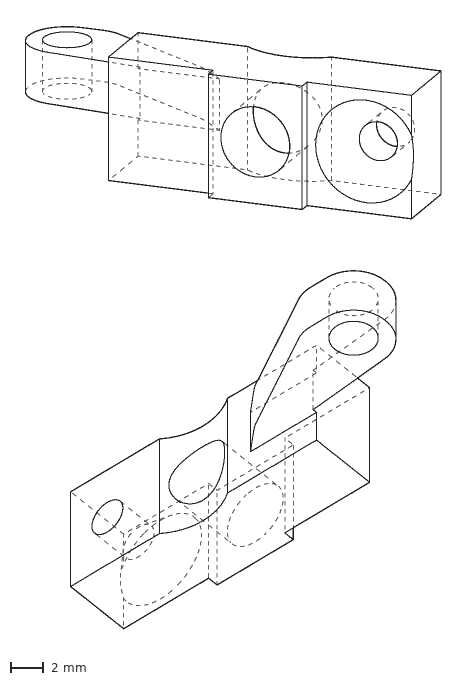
import cadquery as cq
import math

block_length = 19.95
block_depth = 5.0
block_height = 8.0
pad_width = 6.18
pad_depth = 0.8
bore_diameter = 4.53

groove_width = 5.53
groove_depth = 0.88

screw_x = 6.98
screw_diameter = 2.5
sink_diameter = 6.65
sink_angle = 90

arm_thickness = 3.33
eye_x = -16.02
eye_y = 3.5
eye_radius = 2.5
eye_flat = 0.15
pivot_diameter = 3.02
underside_slope = math.radians(5)
flank_slope = math.radians(30)
flank_x = -6.55
flank_y = 1.7
toe_slope = math.radians(43)
toe_x = -4.62

block_left = -block_length / 2


def make_block():
    block = cq.Workplane("XY").box(block_length, block_depth, block_height)
    block = block.translate((0, -block_depth / 2, 0))
    pad = cq.Workplane("XY").box(pad_width, pad_depth, block_height)
    return block.union(pad.translate((0, -block_depth - pad_depth / 2, 0)))


def make_groove():
    return (
        cq.Workplane("XY")
        .moveTo(-groove_width / 2, 0)
        .threePointArc((0, -groove_depth), (groove_width / 2, 0))
        .close()
        .extrude(block_height / 2, both=True)
    )


def make_bore():
    total_depth = block_depth + pad_depth
    return cq.Workplane("XZ").circle(bore_diameter / 2).extrude(total_depth)


def make_screw_hole():
    """Revolve the straight hole and its conical mouth about the screw axis."""
    screw_radius = screw_diameter / 2
    sink_radius = sink_diameter / 2
    sink_depth = (sink_radius - screw_radius) / math.tan(math.radians(sink_angle / 2))
    return (
        cq.Workplane("XY")
        .polyline([
            (0, 0),
            (screw_radius, 0),
            (screw_radius, sink_depth - block_depth),
            (sink_radius, -block_depth),
            (0, -block_depth),
        ])
        .close()
        .revolve(360, (0, 0, 0), (0, 1, 0))
        .translate((screw_x, 0, 0))
    )


def eye_point(centre_y, angle):
    """Point on an eye arc, with the angle measured from +X."""
    return (eye_x + eye_radius * math.cos(angle), centre_y + eye_radius * math.sin(angle))


def rounded_bend(corner, slope_before, slope_after):
    """Ends of an eye-radius arc that rounds a corner between two falling slopes."""
    setback = eye_radius * math.tan((slope_after - slope_before) / 2)
    x, y = corner
    start = (x - setback * math.cos(slope_before), y + setback * math.sin(slope_before))
    end = (x + setback * math.cos(slope_after), y - setback * math.sin(slope_after))
    return start, end


def make_arm():
    top_y = eye_y + eye_radius
    lower_y = eye_y - eye_flat
    tangent_angle = 1.5 * math.pi - underside_slope
    tangent_x, tangent_y = eye_point(lower_y, tangent_angle)
    underside_end_y = tangent_y - (block_left - tangent_x) * math.tan(underside_slope)

    corner_x = flank_x - (top_y - flank_y) / math.tan(flank_slope)
    toe_rise = math.tan(toe_slope)
    flank_rise = math.tan(flank_slope)
    bend_x = (toe_x * toe_rise - flank_x * flank_rise - flank_y) / (toe_rise - flank_rise)
    bend_y = (toe_x - bend_x) * toe_rise

    corner_start, corner_end = rounded_bend((corner_x, top_y), 0, flank_slope)
    bend_start, bend_end = rounded_bend((bend_x, bend_y), flank_slope, toe_slope)

    arm = (
        cq.Workplane("XY")
        .moveTo(eye_x, top_y)
        .lineTo(*corner_start)
        .tangentArcPoint(corner_end, relative=False)
        .lineTo(*bend_start)
        .tangentArcPoint(bend_end, relative=False)
        .lineTo(toe_x, 0)
        .lineTo(block_left, 0)
        .lineTo(block_left, underside_end_y)
        .lineTo(tangent_x, tangent_y)
        .threePointArc(
            eye_point(lower_y, (tangent_angle + math.pi) / 2),
            eye_point(lower_y, math.pi),
        )
        .lineTo(eye_x - eye_radius, eye_y)
        .threePointArc(eye_point(eye_y, 0.75 * math.pi), (eye_x, top_y))
        .close()
        .extrude(arm_thickness / 2, both=True)
    )
    pivot = (
        cq.Workplane("XY")
        .center(eye_x, eye_y)
        .circle(pivot_diameter / 2)
        .extrude(arm_thickness / 2, both=True)
    )
    return arm.cut(pivot)


block = make_block().cut(make_groove()).cut(make_bore()).cut(make_screw_hole())
result = block.union(make_arm())